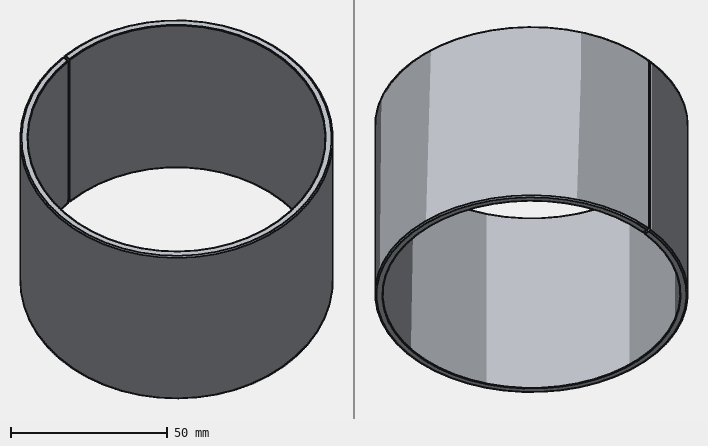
import cadquery as cq

outer_diameter = 100.0
wall_thickness = 2.5
length = 70.0
slit_angle = 1.0
outer_chamfer = 0.5
inner_chamfer = 0.2

outer_radius = outer_diameter / 2
inner_radius = outer_radius - wall_thickness
half_length = length / 2
full_turn = 360.0


def wall_section():
    """Wall cross-section on the -X side, with chamfered corners at both rims."""
    corners = [
        (-inner_radius, -half_length + inner_chamfer),
        (-inner_radius - inner_chamfer, -half_length),
        (-outer_radius + outer_chamfer, -half_length),
        (-outer_radius, -half_length + outer_chamfer),
        (-outer_radius, half_length - outer_chamfer),
        (-outer_radius + outer_chamfer, half_length),
        (-inner_radius - inner_chamfer, half_length),
        (-inner_radius, half_length - inner_chamfer),
    ]
    return cq.Workplane("XZ").polyline(corners).close()


result = wall_section().revolve(full_turn - slit_angle, (0, 0, 0), (0, 1, 0))